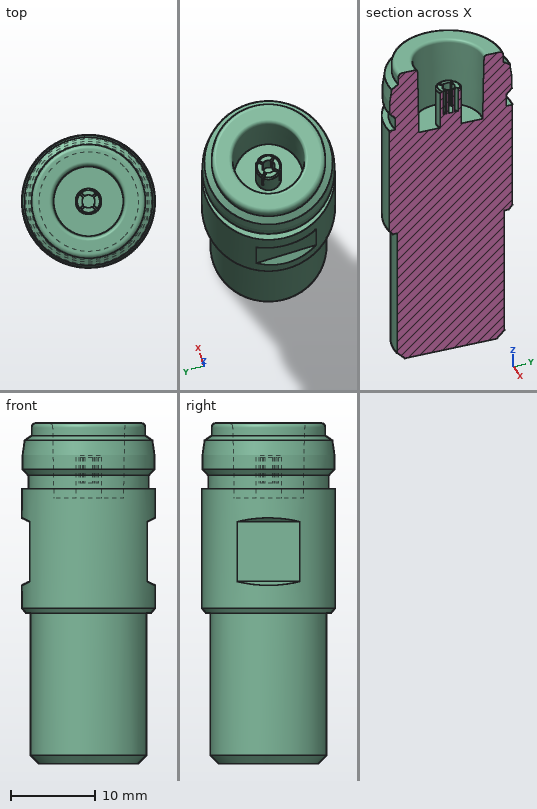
import cadquery as cq

length = 40.45

nose_radius = 6.75
shoulder_radius = 7.6
collar_radius = 7.85
neck_radius = 7.15
body_radius = 7.93
body_end_radius = 7.45
sleeve_radius = 6.9

nose_rounding = 0.53
nose_depth = 1.5
shoulder_depth = 2.05
collar_depth = 3.8
collar_end_depth = 5.5
neck_depth = 6.23
body_depth = 7.8
body_chamfer_depth = 21.95
body_end_depth = 22.57
sleeve_chamfer = 1.0

flat_distance = 7.0
flat_top_depth = 11.75
flat_bottom_depth = 18.8
flat_end_slope = 0.5

bore_radius = 4.3
bore_floor_radius = 4.13
bore_depth = 8.9
bore_rounding = 0.4
contact_radius = 1.55
contact_chamfer = 0.2
contact_tip_depth = 3.85
contact_hole_radius = 0.75
contact_hole_depth = 3.25
slot_width = 0.25


def level(depth):
    """Height of a plane a given depth below the top face."""
    return length - depth


def make_outside():
    """Turned outside of the connector, solid throughout."""
    profile = (
        cq.Workplane("XZ")
        .lineTo(sleeve_radius - sleeve_chamfer, 0)
        .lineTo(sleeve_radius, sleeve_chamfer)
        .lineTo(sleeve_radius, level(body_end_depth))
        .lineTo(body_end_radius, level(body_end_depth))
        .lineTo(body_radius, level(body_chamfer_depth))
        .lineTo(body_radius, level(body_depth))
        .lineTo(neck_radius, level(body_depth))
        .lineTo(neck_radius, level(neck_depth))
        .lineTo(collar_radius, level(collar_end_depth))
        .lineTo(collar_radius, level(collar_depth))
        .lineTo(shoulder_radius, level(shoulder_depth))
        .lineTo(nose_radius, level(nose_depth))
        .lineTo(nose_radius, length)
        .lineTo(0, length)
        .close()
    )
    solid = profile.revolve(360, (0, 0, 0), (0, 1, 0))
    return solid.faces(">Z").edges().fillet(nose_rounding)


def make_flat_cutter(side):
    """Trapezoidal cutter for one wrench flat; side is +1 or -1 along X."""
    outer = body_radius + 0.4
    rise = (outer - flat_distance) * flat_end_slope
    outline = [
        (side * flat_distance, level(flat_top_depth)),
        (side * outer, level(flat_top_depth) + rise),
        (side * outer, level(flat_bottom_depth) - rise),
        (side * flat_distance, level(flat_bottom_depth)),
    ]
    return cq.Workplane("XZ").polyline(outline).close().extrude(body_radius, both=True)


def make_socket_cutter():
    """Slightly tapered blind bore."""
    return (
        cq.Workplane("XZ", origin=(0, 0, level(bore_depth)))
        .lineTo(bore_floor_radius, 0)
        .lineTo(bore_radius, bore_depth)
        .lineTo(0, bore_depth)
        .close()
        .revolve(360, (0, 0, 0), (0, 1, 0))
    )


def make_contact():
    """Hollow centre contact with its tip split into four fingers."""
    contact_length = bore_depth - contact_tip_depth
    contact = (
        cq.Workplane("XY", origin=(0, 0, level(bore_depth)))
        .circle(contact_radius)
        .extrude(contact_length)
        .faces(">Z")
        .chamfer(contact_chamfer)
    )
    hole_floor = level(contact_tip_depth + contact_hole_depth)
    hole_plane = cq.Workplane("XY", origin=(0, 0, hole_floor))
    contact = contact.cut(hole_plane.circle(contact_hole_radius).extrude(contact_hole_depth))
    for angle in (45, 135):
        slot = (
            hole_plane.transformed(rotate=(0, 0, angle))
            .rect(2 * contact_radius, slot_width)
            .extrude(contact_hole_depth)
        )
        contact = contact.cut(slot)
    return contact


result = make_outside()
for side in (-1, 1):
    result = result.cut(make_flat_cutter(side))
result = result.cut(make_socket_cutter())
mouth_edge = cq.selectors.RadiusNthSelector(0)
result = result.faces(">Z").edges(mouth_edge).fillet(bore_rounding)
result = result.union(make_contact())